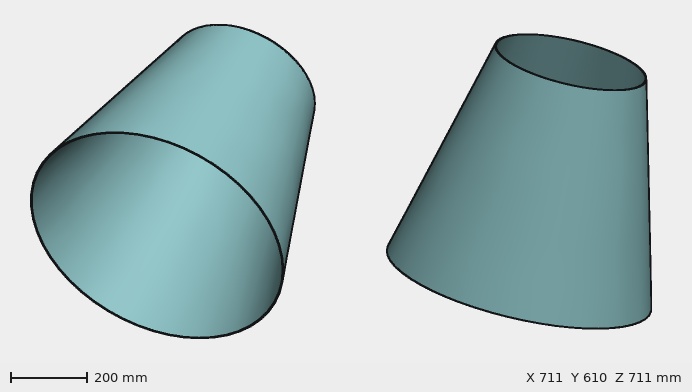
import math

import cadquery as cq

wide_diameter = 711.0
narrow_diameter = 407.0
length = 610.0
wall_thickness = 3.0

wide_radius = wide_diameter / 2
narrow_radius = narrow_diameter / 2

half_angle = math.atan((wide_radius - narrow_radius) / length)
radial_wall = wall_thickness / math.cos(half_angle)

wall_section = [
    (wide_radius - radial_wall, 0),
    (wide_radius, 0),
    (narrow_radius, length),
    (narrow_radius - radial_wall, length),
]

result = (
    cq.Workplane("XY")
    .polyline(wall_section)
    .close()
    .revolve(360, (0, 0, 0), (0, 1, 0))
)